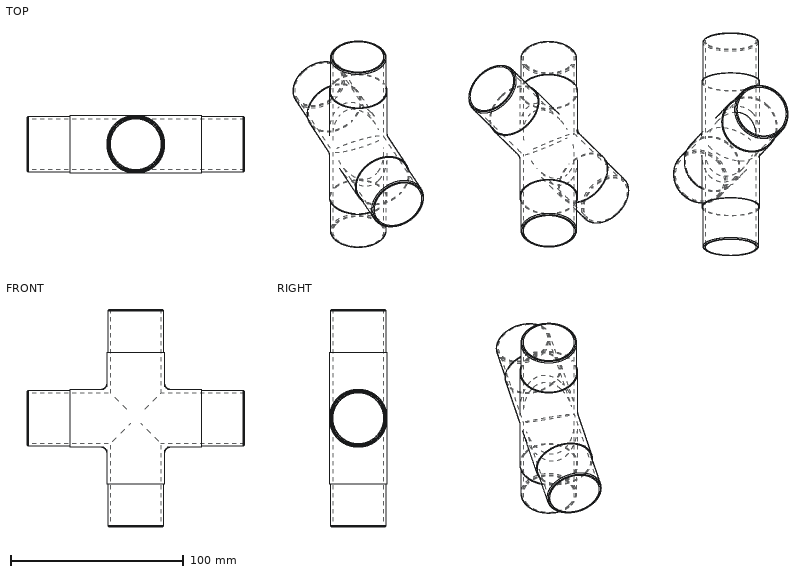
import cadquery as cq

overall_length = 126.0
body_diameter = 33.6
spigot_diameter = 32.4
bore_diameter = 29.6
spigot_length = 24.8
tip_chamfer = 0.6
crotch_radius = 3.2

body_length = overall_length - 2 * spigot_length
tube_planes = ("YZ", "XY")


def centred_cylinder(plane, diameter, length):
    """Cylinder centred on the origin, along the normal of the plane."""
    return cq.Workplane(plane).circle(diameter / 2).extrude(length / 2, both=True)


def solid_tube(plane):
    """Unbored tube: a thick body between two thinner spigots with chamfered tips."""
    body = centred_cylinder(plane, body_diameter, body_length)
    spigots = centred_cylinder(plane, spigot_diameter, overall_length)
    return body.union(spigots.edges("%CIRCLE").chamfer(tip_chamfer))


def quarter_cross():
    """The +X, +Z quarter of the cross, with its crotch filleted and its bores cut."""
    quarter_space = cq.Workplane().box(
        overall_length, overall_length, overall_length, centered=(False, True, False)
    )
    solid_cross = solid_tube("YZ").union(solid_tube("XY"))

    quarter = solid_cross.intersect(quarter_space).edges("%ELLIPSE").fillet(crotch_radius)
    for plane in tube_planes:
        quarter = quarter.cut(centred_cylinder(plane, bore_diameter, overall_length), clean=False)
    return quarter


result = quarter_cross()
for mirror_plane in tube_planes:
    result = result.union(result.mirror(mirror_plane), clean=False)